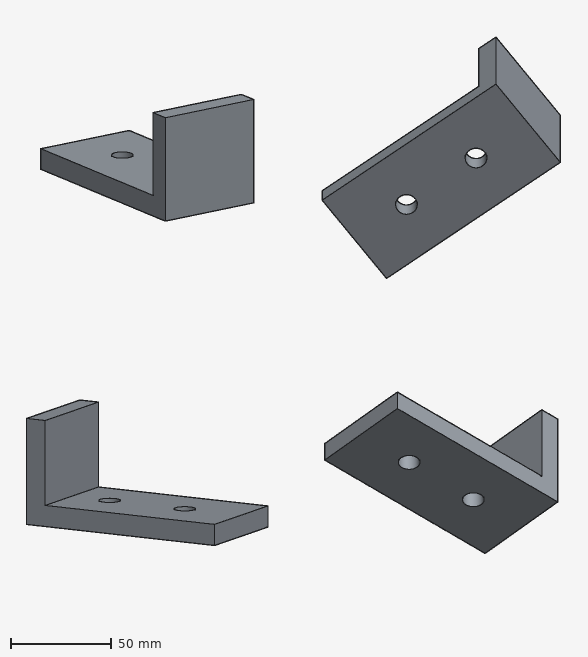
import cadquery as cq

length = 107.8
width = 53.9
height = 53.9
thickness = 10.8
hole_diameter = 10.8
hole_spacing = 43.1


def make_base():
    """Flat plate, centred on X and Y, with two through holes on its centreline."""
    plate = cq.Workplane("XY").box(length, width, thickness, centered=(True, True, False))
    hole_centers = [(-hole_spacing / 2, 0), (hole_spacing / 2, 0)]
    return plate.faces(">Z").workplane().pushPoints(hole_centers).hole(hole_diameter)


def make_wall():
    """Upright wall standing on the +X end of the base."""
    wall_height = height - thickness
    wall_center_x = (length - thickness) / 2
    wall = cq.Workplane("XY").box(thickness, width, wall_height, centered=(True, True, False))
    return wall.translate((wall_center_x, 0, thickness))


result = make_base().union(make_wall())